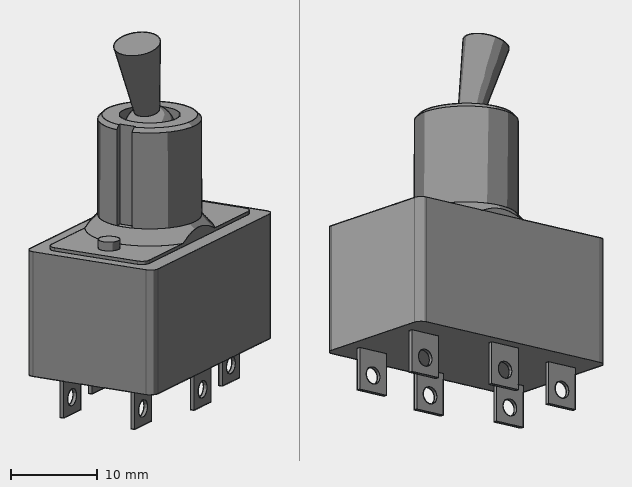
import cadquery as cq
import math

case_width = 17.0
case_length = 28.0
case_height = 15.0
corner_radius = 1.0
terminal_length = 5.0
terminal_width = 4.0
terminal_thickness = 0.5
terminal_pitch = 10.25
terminal_hole_diameter = 2.0
terminal_hole_height = 2.0
end_terminal_offset = 4.7
middle_terminal_offset = 6.75

plate_width = 13.0
plate_length = 25.05
plate_thickness = 0.4
rivet_diameter = 2.5
rivet_height = 1.45
rivet_offset = 9.5

flare_radius = 7.45
flare_height = 1.63
bushing_radius = 6.0
bushing_top_above_case = 14.0
bushing_chamfer = 0.5
keyway_width = 2.0
keyway_floor_radius = 5.15
bore_radius = 3.5

tilt_angle = 15
ball_radius = 3.0
neck_radius = 1.5
tip_radius = 2.72
tip_distance = 11.43
tip_dome = 0.2
total_height = 43.95

case_bottom = terminal_length
case_top = case_bottom + case_height
plate_top = case_top + plate_thickness
flare_top = plate_top + flare_height
bushing_top = case_top + bushing_top_above_case
tilt = math.radians(tilt_angle)
ball_center = total_height - tip_distance * math.cos(tilt) - tip_radius * math.sin(tilt)
bore_floor = ball_center - ball_radius


def rounded_block(width, length, height, base):
    block = cq.Workplane("XY").box(width, length, height, centered=(True, True, False))
    return block.edges("|Z").fillet(corner_radius).translate((0, 0, base))


def cylinder(radius, bottom, top, y=0):
    return cq.Workplane("XY").workplane(offset=bottom).center(0, y).circle(radius).extrude(top - bottom)


def make_terminal(x, y):
    blade = cq.Workplane("XY").box(
        terminal_thickness, terminal_width, terminal_length, centered=(True, True, False)
    )
    hole = (
        cq.Workplane("YZ")
        .center(0, terminal_hole_height)
        .circle(terminal_hole_diameter / 2)
        .extrude(terminal_thickness, both=True)
    )
    return blade.cut(hole).translate((x, y, 0))


def make_flare():
    """Conical foot of the bushing, trimmed flush with the plate sides."""
    cone = (
        cq.Workplane("XZ")
        .moveTo(0, plate_top)
        .lineTo(flare_radius, plate_top)
        .lineTo(bushing_radius, flare_top)
        .lineTo(0, flare_top)
        .close()
        .revolve(360, (0, 0), (0, 1))
    )
    return cone.intersect(rounded_block(plate_width, plate_length, bushing_top, 0))


def make_bushing():
    barrel = cylinder(bushing_radius, flare_top, bushing_top).faces(">Z").chamfer(bushing_chamfer)
    keyway = cq.Workplane("XY").box(
        keyway_width, bushing_radius, bushing_top - flare_top, centered=(True, False, False)
    )
    return barrel.cut(keyway.translate((0, -keyway_floor_radius - bushing_radius, flare_top)))


def make_housing():
    housing = rounded_block(case_width, case_length, case_height, case_bottom)
    housing = housing.union(rounded_block(plate_width, plate_length, plate_thickness, case_top))
    housing = housing.union(make_flare()).union(make_bushing())
    for side in (-1, 1):
        rivet = cylinder(rivet_diameter / 2, case_top, case_top + rivet_height, side * rivet_offset)
        housing = housing.union(rivet)
        for row in (-1, 0, 1):
            offset = middle_terminal_offset if row == 0 else end_terminal_offset
            housing = housing.union(make_terminal(side * offset, row * terminal_pitch))
    return housing.cut(cylinder(bore_radius, bore_floor, bushing_top))


def make_lever():
    """Ball and handle as one revolved profile about the lever axis."""
    neck_distance = math.sqrt(ball_radius**2 - neck_radius**2)
    dome_radius = (tip_radius**2 + tip_dome**2) / (2 * tip_dome)
    lever = (
        cq.Workplane("XZ")
        .moveTo(0, -ball_radius)
        .threePointArc((ball_radius, 0), (neck_radius, neck_distance))
        .lineTo(tip_radius, tip_distance)
        .radiusArc((0, tip_distance + tip_dome), -dome_radius)
        .close()
        .revolve(360, (0, 0), (0, 1))
    )
    return lever.rotate((0, 0, 0), (1, 0, 0), tilt_angle).translate((0, 0, ball_center))


housing = make_housing()
lever = make_lever()
result = cq.Compound.makeCompound([housing.val(), lever.val()])